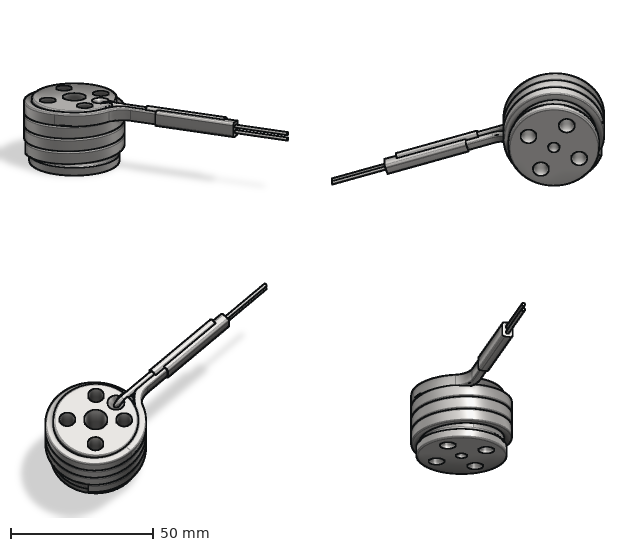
import cadquery as cq
import math

BODY_RADIUS = 15.0
BODY_HEIGHT = 24.0
FLANGE_RADIUS = 16.0
FLANGE_EDGE_Z = 3.1
FLANGE_CHAMFER = 0.5
NECK_START_Z = 3.6
NECK_END_Z = 4.5
BODY_EDGE_FILLET = 0.5

BOLT_CIRCLE_RADIUS = 10.0
BOLT_HOLE_DIAMETER = 5.6
BOLT_COUNT = 4
CENTRE_BORE_TOP_DIAMETER = 8.2
CENTRE_BORE_BOTTOM_DIAMETER = 4.0
SENSOR_CONE_RADIUS = 3.0
SENSOR_CONE_DEPTH = 3.0
SENSOR_X = 10.0

STRIP_OUTER_RADIUS = 17.8
STRIP_SINK = 0.1
STRIP_HEIGHT = 4.5
STRIP_EDGE_RADIUS = 0.4
STRIP_TOP_Z = 23.5
COIL_PITCH = 4.75
COIL_START_ANGLE = 217.0
COIL_END_ANGLE = 270.0
COIL_FULL_TURNS = 3
LEAD_CENTRE_Y = -1.37
LEAD_BEND_INNER_RADIUS = 7.0

SLEEVE_WALL = 0.5
SLEEVE_START_X = 32.5
SLEEVE_LENGTH = 30.0
HEATER_WIRE_DIAMETER = 1.2
HEATER_WIRE_COUNT = 2
HEATER_WIRE_SPACING = 2.0
HEATER_WIRE_LENGTH = 20.0

SENSOR_DIAMETER = 2.2
SENSOR_BEND_RADIUS = 3.0
SENSOR_SLEEVE_DIAMETER = 3.2
SENSOR_SLEEVE_START_X = 28.0
SENSOR_SLEEVE_LENGTH = 30.0

strip_width = STRIP_OUTER_RADIUS - BODY_RADIUS + STRIP_SINK
strip_radius = STRIP_OUTER_RADIUS - strip_width / 2
strip_z = STRIP_TOP_Z - STRIP_HEIGHT / 2
sensor_z = BODY_HEIGHT - SENSOR_DIAMETER / 2


def make_body():
    neck_start_radius = FLANGE_RADIUS - FLANGE_CHAMFER
    neck_width = neck_start_radius - BODY_RADIUS
    neck_height = NECK_END_Z - NECK_START_Z
    neck_fillet = (neck_width**2 + neck_height**2) / (2 * neck_width)
    profile = (
        cq.Workplane("XZ")
        .lineTo(FLANGE_RADIUS, 0)
        .lineTo(FLANGE_RADIUS, FLANGE_EDGE_Z)
        .lineTo(neck_start_radius, NECK_START_Z)
        .radiusArc((BODY_RADIUS, NECK_END_Z), neck_fillet)
        .lineTo(BODY_RADIUS, BODY_HEIGHT)
        .lineTo(0, BODY_HEIGHT)
        .close()
    )
    body = profile.revolve(360, (0, 0, 0), (0, 1, 0))
    return body.faces("<Z or >Z").edges().fillet(BODY_EDGE_FILLET)


def make_bolt_holes():
    return (
        cq.Workplane("XY")
        .polarArray(BOLT_CIRCLE_RADIUS, 180 / BOLT_COUNT, 360, BOLT_COUNT)
        .circle(BOLT_HOLE_DIAMETER / 2)
        .extrude(BODY_HEIGHT)
    )


def make_centre_bore():
    """Through bore that tapers evenly from the top down to the underside."""
    return cq.Workplane(cq.Solid.makeCone(
        CENTRE_BORE_BOTTOM_DIAMETER / 2, CENTRE_BORE_TOP_DIAMETER / 2, BODY_HEIGHT,
    ))


def make_sensor_pocket():
    """Conical pocket with an open slot that leads the sensor out to the rim."""
    cone = cq.Workplane(cq.Solid.makeCone(
        SENSOR_CONE_RADIUS, 0, SENSOR_CONE_DEPTH,
        pnt=cq.Vector(SENSOR_X, 0, BODY_HEIGHT), dir=cq.Vector(0, 0, -1),
    ))
    slot = cq.Workplane("XY").box(
        BODY_RADIUS - SENSOR_X, SENSOR_DIAMETER, BODY_HEIGHT - sensor_z,
        centered=(False, True, False),
    ).translate((SENSOR_X, 0, sensor_z))
    return cone.union(slot)


def strip_section(plane):
    """Rounded cross-section of the heater strip, centred on the plane's origin."""
    section = cq.Sketch().rect(strip_width, STRIP_HEIGHT).vertices().fillet(STRIP_EDGE_RADIUS)
    return cq.Workplane(plane).placeSketch(section)


def make_coil():
    turns = COIL_FULL_TURNS + (COIL_END_ANGLE - COIL_START_ANGLE) / 360
    rise = turns * COIL_PITCH
    path = cq.Wire.makeHelix(COIL_PITCH, rise, strip_radius)
    start = cq.Plane(origin=(strip_radius, 0, 0), xDir=(1, 0, 0), normal=(0, 1, 0))
    coil = strip_section(start).sweep(cq.Workplane(path), isFrenet=True)
    return coil.rotate((0, 0, 0), (0, 0, 1), COIL_START_ANGLE).translate((0, 0, strip_z - rise))


def make_lead():
    """Level end of the strip: around the body, through a reverse bend, then straight along X."""
    bend_radius = LEAD_BEND_INNER_RADIUS + strip_width / 2
    bend_y = LEAD_CENTRE_Y - bend_radius
    centre_distance = strip_radius + bend_radius
    bend_x = math.sqrt(centre_distance**2 - bend_y**2)
    tangent_scale = strip_radius / centre_distance
    path = (
        cq.Workplane("XY", origin=(0, 0, strip_z))
        .moveTo(0, -strip_radius)
        .radiusArc((bend_x * tangent_scale, bend_y * tangent_scale), -strip_radius)
        .tangentArcPoint((bend_x, LEAD_CENTRE_Y), relative=False)
        .lineTo(SLEEVE_START_X, LEAD_CENTRE_Y)
    )
    start = cq.Plane(origin=(0, -strip_radius, strip_z), xDir=(0, -1, 0), normal=(1, 0, 0))
    return strip_section(start).sweep(path)


def make_heater_sleeve():
    return (
        cq.Workplane("YZ", origin=(SLEEVE_START_X, LEAD_CENTRE_Y, strip_z))
        .rect(strip_width + 2 * SLEEVE_WALL, STRIP_HEIGHT + 2 * SLEEVE_WALL)
        .extrude(SLEEVE_LENGTH)
        .edges("|X")
        .fillet(STRIP_EDGE_RADIUS + SLEEVE_WALL)
    )


def make_heater_wires():
    return (
        cq.Workplane("YZ", origin=(SLEEVE_START_X + SLEEVE_LENGTH, LEAD_CENTRE_Y, strip_z))
        .rarray(1, HEATER_WIRE_SPACING, 1, HEATER_WIRE_COUNT)
        .circle(HEATER_WIRE_DIAMETER / 2)
        .extrude(HEATER_WIRE_LENGTH)
    )


def make_sensor():
    bend_start_z = sensor_z - SENSOR_BEND_RADIUS
    path = (
        cq.Workplane("XZ")
        .moveTo(SENSOR_X, bend_start_z)
        .radiusArc((SENSOR_X + SENSOR_BEND_RADIUS, sensor_z), SENSOR_BEND_RADIUS)
        .lineTo(SENSOR_SLEEVE_START_X, sensor_z)
    )
    probe = (
        cq.Workplane("XY", origin=(SENSOR_X, 0, bend_start_z))
        .circle(SENSOR_DIAMETER / 2)
        .sweep(path)
    )
    sleeve = (
        cq.Workplane("YZ", origin=(SENSOR_SLEEVE_START_X, 0, sensor_z))
        .circle(SENSOR_SLEEVE_DIAMETER / 2)
        .extrude(SENSOR_SLEEVE_LENGTH)
    )
    return probe.union(sleeve)


body = make_body().cut(make_bolt_holes()).cut(make_centre_bore()).cut(make_sensor_pocket())
heater = make_coil().union(make_lead()).union(make_heater_sleeve()).union(make_heater_wires())
result = body.union(heater).union(make_sensor())